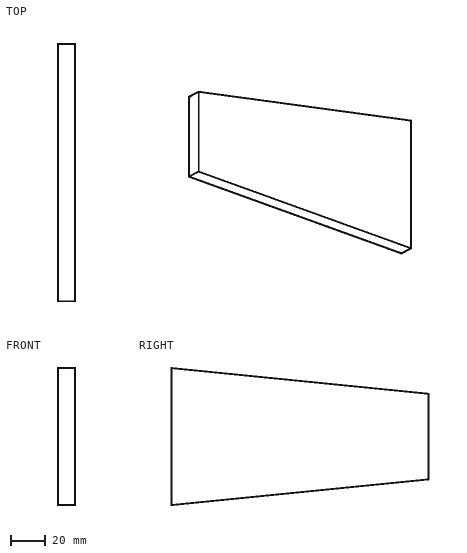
import cadquery as cq

thickness = 10.0
length = 150.0
wide_height = 80.0
narrow_height = 50.0


def tapered_plate():
    """Trapezoidal plate centred on the origin, tapering toward +Y."""
    outline = [
        (-length / 2, -wide_height / 2),
        (length / 2, -narrow_height / 2),
        (length / 2, narrow_height / 2),
        (-length / 2, wide_height / 2),
    ]
    return cq.Workplane("YZ").polyline(outline).close().extrude(thickness / 2, both=True)


result = tapered_plate()